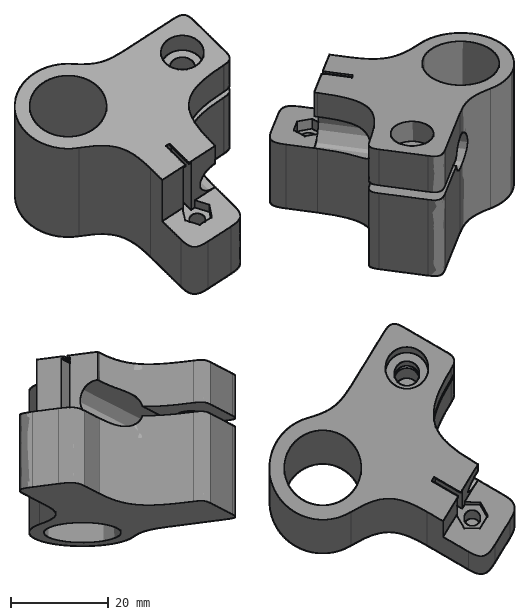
import cadquery as cq
import math

LENGTH = 47.95
HEIGHT = 30.0
RING_RADIUS = 11.0
BORE_RADIUS = 7.9
BLEND_RADIUS = 15.0
BLEND_REACH = 14.4
BLEND_FULLNESS = 0.79

CLAMP_ARM_LEFT = -3.9
CLAMP_ARM_RIGHT = 11.95
CLAMP_ARM_END = 34.0
CLAMP_CORNER_LEFT = 3.0
CLAMP_CORNER_RIGHT = 2.55

STEP_ARM_Y = 10.0
STEP_ARM_WIDTH = 14.0
STEP_ARM_LOW = STEP_ARM_Y - STEP_ARM_WIDTH / 2
STEP_ARM_HIGH = STEP_ARM_Y + STEP_ARM_WIDTH / 2
STEP_ARM_END = LENGTH - RING_RADIUS
STEP_CORNER = 4.0

STEP_X = 27.0
STEP_HEIGHT = 16.0
NUT_FLATS = 5.55
NUT_X = STEP_X + NUT_FLATS / 2
NUT_DEPTH = 2.5
NUT_SCREW_RADIUS = 1.7
NUT_SCREW_DEPTH = 10.0
SLIT_LENGTH = 6.4
SLIT_WIDTH = 0.9
SLIT_Y = 9.6
SLIT_LIP = 0.5
CHANNEL_WIDTH = 2.0
CHANNEL_FLOOR = STEP_HEIGHT - NUT_DEPTH

ROD_RADIUS = 4.0
ROD_Y = STEP_ARM_HIGH
ROD_Z = 20.0
GAP_WIDTH = 1.95

SCREW_X = (CLAMP_ARM_LEFT + CLAMP_ARM_RIGHT) / 2
SCREW_Y = 26.95
SCREW_RADIUS = 2.6
SCREW_DEPTH = 20.0
HEAD_RADIUS = 4.4
HEAD_DEPTH = 5.0


def toward(start, end, share):
    """Point a given share of the way from start to end."""
    return tuple(a + (b - a) * share for a, b in zip(start, end))


def smooth_corner(outline, start, corner, end):
    """Round a corner with a curve tangent to both sides, tighter in the middle than an arc."""
    handles = [toward(start, corner, BLEND_FULLNESS), toward(end, corner, BLEND_FULLNESS)]
    return outline.bezier([start, *handles, end])


def tangent_meeting(ring_point, arm_x=None, arm_y=None):
    """Meeting point of the ring's tangent at ring_point with an arm side at arm_x or arm_y."""
    x, y = ring_point
    if arm_x is None:
        return (RING_RADIUS**2 - y * arm_y) / x, arm_y
    return arm_x, (RING_RADIUS**2 - x * arm_x) / y


def body():
    centre_distance = RING_RADIUS + BLEND_RADIUS
    ring_share = RING_RADIUS / centre_distance

    low_y = STEP_ARM_LOW - BLEND_RADIUS
    low_centre = (math.sqrt(centre_distance**2 - low_y**2), low_y)
    low_ring = toward((0, 0), low_centre, ring_share)
    low_arm = (low_centre[0], STEP_ARM_LOW)

    left_x = CLAMP_ARM_LEFT - BLEND_RADIUS
    left_centre = (left_x, math.sqrt(centre_distance**2 - left_x**2))
    left_ring = toward((0, 0), left_centre, ring_share)
    left_arm = (CLAMP_ARM_LEFT, left_centre[1])

    end_low = (STEP_ARM_END, STEP_ARM_LOW)
    end_high = (STEP_ARM_END, STEP_ARM_HIGH)
    inner = (CLAMP_ARM_RIGHT, STEP_ARM_HIGH)
    end_right = (CLAMP_ARM_RIGHT, CLAMP_ARM_END)
    end_left = (CLAMP_ARM_LEFT, CLAMP_ARM_END)
    corners = [
        (end_low, STEP_CORNER),
        (end_high, STEP_CORNER),
        (inner, BLEND_REACH),
        (end_right, CLAMP_CORNER_RIGHT),
        (end_left, CLAMP_CORNER_LEFT),
    ]

    low_corner = tangent_meeting(low_ring, arm_y=STEP_ARM_LOW)
    outline = smooth_corner(cq.Workplane("XY").moveTo(*low_ring), low_ring, low_corner, low_arm)
    neighbours = [low_arm, *(point for point, _ in corners), left_arm]
    for index, (corner, reach) in enumerate(corners):
        before = neighbours[index]
        after = neighbours[index + 2]
        start = toward(corner, before, reach / math.dist(corner, before))
        end = toward(corner, after, reach / math.dist(corner, after))
        outline = smooth_corner(outline.lineTo(*start), start, corner, end)
    left_corner = tangent_meeting(left_ring, arm_x=CLAMP_ARM_LEFT)
    outline = smooth_corner(outline.lineTo(*left_arm), left_arm, left_corner, left_ring)
    outline = outline.threePointArc((0, -RING_RADIUS), low_ring).close()
    return outline.extrude(HEIGHT)


def box(x_range, y_range, z_range):
    """Box between two limits along each axis."""
    sizes = [high - low for low, high in (x_range, y_range, z_range)]
    lows = [limits[0] for limits in (x_range, y_range, z_range)]
    return cq.Workplane("XY").box(*sizes, centered=False).translate(tuple(lows))


def centred_range(middle, width):
    """Lower and upper limit of a width centred on a position."""
    return middle - width / 2, middle + width / 2


def hole(x, y, top, radius, depth):
    """Vertical cylinder going down from a given height."""
    return cq.Workplane("XY", origin=(x, y, top)).circle(radius).extrude(-depth)


def step():
    return box((STEP_X, STEP_ARM_END), (STEP_ARM_LOW, STEP_ARM_HIGH), (STEP_HEIGHT, HEIGHT))


def slit():
    """Narrow slit in the top face over a wider channel that opens into the nut pocket."""
    x_range = (STEP_X - SLIT_LENGTH, STEP_X)
    lip_bottom = HEIGHT - SLIT_LIP
    mouth = box(x_range, centred_range(SLIT_Y, SLIT_WIDTH), (lip_bottom, HEIGHT))
    channel = box(x_range, centred_range(SLIT_Y, CHANNEL_WIDTH), (CHANNEL_FLOOR, lip_bottom))
    return mouth.union(channel)


def nut_pocket():
    across_corners = NUT_FLATS / math.cos(math.pi / 6)
    plane = cq.Workplane("XY", origin=(NUT_X, STEP_ARM_Y, STEP_HEIGHT))
    pocket = plane.transformed(rotate=(0, 0, 90)).polygon(6, across_corners).extrude(-NUT_DEPTH)
    return pocket.union(hole(NUT_X, STEP_ARM_Y, STEP_HEIGHT, NUT_SCREW_RADIUS, NUT_SCREW_DEPTH))


def rod_clamp():
    rod = cq.Workplane("YZ", origin=(-RING_RADIUS, ROD_Y, ROD_Z)).circle(ROD_RADIUS).extrude(LENGTH)
    gap = box(
        (CLAMP_ARM_LEFT, CLAMP_ARM_RIGHT + BLEND_REACH),
        (ROD_Y, CLAMP_ARM_END),
        centred_range(ROD_Z, GAP_WIDTH),
    )
    return rod.union(gap)


def clamp_screw():
    head = hole(SCREW_X, SCREW_Y, HEIGHT, HEAD_RADIUS, HEAD_DEPTH)
    return head.union(hole(SCREW_X, SCREW_Y, HEIGHT, SCREW_RADIUS, SCREW_DEPTH))


result = body().cut(hole(0, 0, HEIGHT, BORE_RADIUS, HEIGHT))
for cutter in (step(), slit(), nut_pocket(), rod_clamp(), clamp_screw()):
    result = result.cut(cutter)